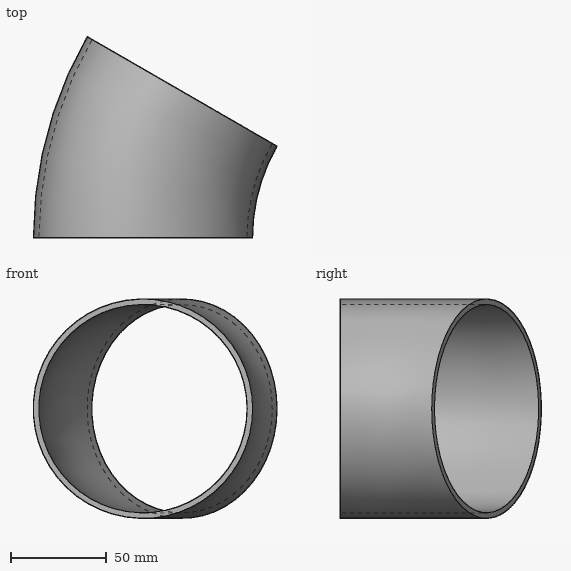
import cadquery as cq
import math

overall_length = 127.1
bend_angle = 30.0
bend_radius = 152.5
wall = 2.9

bend_cosine = math.cos(math.radians(bend_angle))
outer_radius = (overall_length - bend_radius * (1 - bend_cosine)) / (1 + bend_cosine)
inner_radius = outer_radius - wall

result = (
    cq.Workplane("XZ")
    .circle(outer_radius)
    .circle(inner_radius)
    .revolve(bend_angle, (bend_radius, 0), (bend_radius, -1))
)